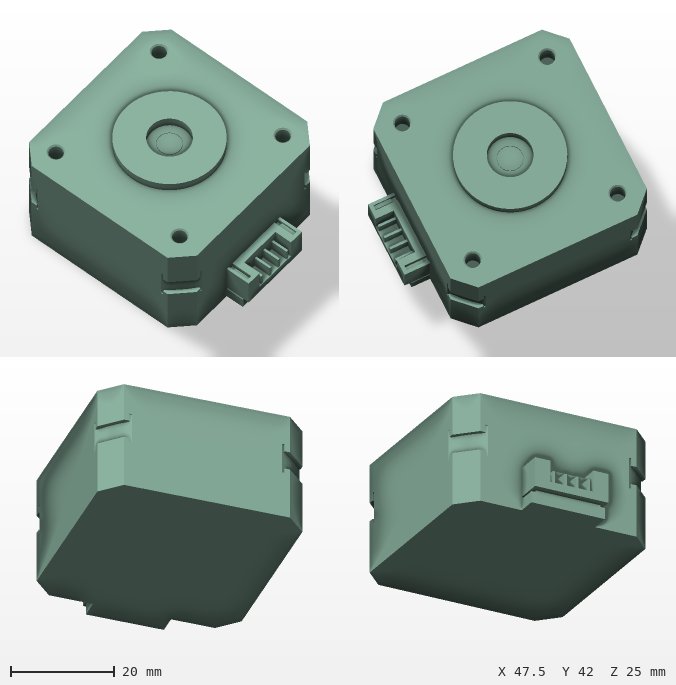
import cadquery as cq

body_side = 42.0
body_height = 23.0
corner_chamfer = 4.0
half_side = body_side / 2

boss_diameter = 22.0
boss_height = 2.0
bore_diameter = 9.0
bearing_diameter = 8.75
shaft_seat_diameter = 5.2
shaft_diameter = 5.0
ring_gap_depth = 0.2

hole_spacing = 31.0
hole_diameter = 3.0
hole_depth = 4.5
hole_chamfer = 0.3

recess_radius = 26.0
recess_bottom = 11.0
recess_top = 14.9
recess_end_bottom = 10.0
recess_end_top = 16.5
recess_end_reach = 15.85

connector_width = 16.0
base_length = 4.0
base_height = 2.4
neck_inset = 1.0
neck_top = 2.75
housing_length = 5.5
housing_bottom = 2.85
housing_top = 9.0

socket_wall = 1.6
socket_width = 9.4
socket_depth = 4.5
pin_count = 4
pin_pitch = 2.54
pin_thickness = 0.5
pin_setback = 0.15
pin_top = 7.0

slot_length = 4.7
slot_outer = 7.35
slot_inner = 6.3
slot_depth = 1.0
tongue_start = 1.0
tongue_inner = 6.55
tongue_height = 0.5


def cylinder(diameter, bottom, top):
    """Vertical cylinder about the Z axis."""
    return cq.Workplane("XY").workplane(offset=bottom).circle(diameter / 2).extrude(top - bottom)


def ring(outer_diameter, inner_diameter, bottom, top):
    """Vertical tube about the Z axis."""
    return cylinder(outer_diameter, bottom, top).cut(cylinder(inner_diameter, bottom, top))


def block(x_range, y_range, z_range):
    """Axis-aligned box given by its limits on each axis."""
    sizes = [high - low for low, high in (x_range, y_range, z_range)]
    corner = (x_range[0], y_range[0], z_range[0])
    return cq.Workplane("XY").box(*sizes, centered=False).translate(corner)


def body_block():
    block_solid = cq.Workplane("XY").rect(body_side, body_side).extrude(body_height)
    return block_solid.edges("|Z").chamfer(corner_chamfer)


def corner_recess_cutter():
    """Material outside the recess cylinder, between the recess heights, at all four corners."""
    outer_diameter = 2 * body_side
    recess_diameter = 2 * recess_radius
    middle_band = ring(outer_diameter, recess_diameter, recess_bottom, recess_top)
    tall_band = ring(outer_diameter, recess_diameter, recess_end_bottom, recess_end_top)
    tall_limits = (-recess_end_reach, recess_end_reach)
    side_limits = (-half_side, half_side)
    tall_heights = (recess_end_bottom, recess_end_top)
    tall_zone = block(tall_limits, side_limits, tall_heights)
    tall_zone = tall_zone.union(block(side_limits, tall_limits, tall_heights))
    return middle_band.union(tall_band.intersect(tall_zone))


def pilot_boss():
    boss_top = body_height + boss_height
    return ring(boss_diameter, bore_diameter, body_height, boss_top)


def shaft_gap_cutter():
    """Narrow ring grooves that set off the bearing and the shaft end at the bore floor."""
    gap_bottom = body_height - ring_gap_depth
    bearing_gap = ring(bore_diameter, bearing_diameter, gap_bottom, body_height)
    shaft_gap = ring(shaft_seat_diameter, shaft_diameter, gap_bottom, body_height)
    return bearing_gap.union(shaft_gap)


def mounting_hole_cutter():
    hole_radius = hole_diameter / 2
    mouth_radius = hole_radius + hole_chamfer
    profile = [
        (0, body_height - hole_depth),
        (hole_radius, body_height - hole_depth),
        (hole_radius, body_height - hole_chamfer),
        (mouth_radius, body_height),
        (0, body_height),
    ]
    hole = cq.Workplane("XZ").polyline(profile).close().revolve(360, (0, 0, 0), (0, 1, 0))
    offset = hole_spacing / 2
    cutter = cq.Workplane("XY")
    for x in (-offset, offset):
        for y in (-offset, offset):
            cutter = cutter.add(hole.translate((x, y, 0)))
    return cutter.combine()


def key_slot_cutter(side):
    """Slot in the housing top on the +Y (side = 1) or -Y (side = -1) end, less its tongue."""
    floor = housing_top - slot_depth
    slot_end = half_side + slot_length
    slot_y = sorted((side * slot_inner, side * slot_outer))
    tongue_y = sorted((side * tongue_inner, side * slot_outer))
    slot = block((half_side, slot_end), slot_y, (floor, housing_top))
    tongue = block((half_side + tongue_start, slot_end), tongue_y, (floor, floor + tongue_height))
    return slot.cut(tongue)


def connector():
    half_width = connector_width / 2
    full_y = (-half_width, half_width)
    neck_y = (neck_inset - half_width, half_width - neck_inset)
    base_x = (half_side, half_side + base_length)
    housing_end = half_side + housing_length
    solid = block(base_x, full_y, (0, base_height))
    solid = solid.union(block(base_x, neck_y, (base_height, neck_top)))
    solid = solid.union(block((half_side, housing_end), full_y, (housing_bottom, housing_top)))

    socket_start = half_side + socket_wall
    socket_floor = housing_top - socket_depth
    socket_y = (-socket_width / 2, socket_width / 2)
    solid = solid.cut(block((socket_start, housing_end), socket_y, (socket_floor, housing_top)))
    for index in range(pin_count):
        pin_y = (index - (pin_count - 1) / 2) * pin_pitch
        pin_limits = (pin_y - pin_thickness / 2, pin_y + pin_thickness / 2)
        pin_x = (socket_start, housing_end - pin_setback)
        solid = solid.union(block(pin_x, pin_limits, (socket_floor, pin_top)))

    for side in (-1, 1):
        solid = solid.cut(key_slot_cutter(side))
    return solid


result = (
    body_block()
    .cut(corner_recess_cutter())
    .union(pilot_boss())
    .cut(shaft_gap_cutter())
    .cut(mounting_hole_cutter())
    .union(connector())
)